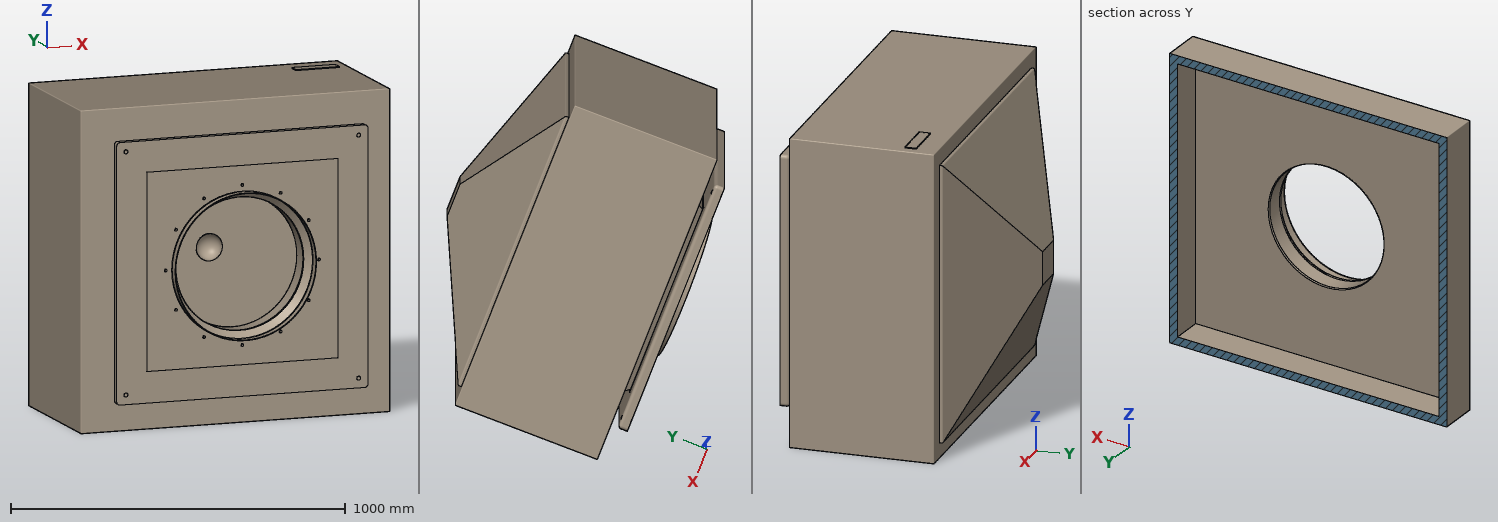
import cadquery as cq
import math


spigot_length = 30.0
spigot_outer_radius = 225.0
spigot_wall = 2.0
adapter_width = 607.0
throat_radius = 203.0
throat_land = 8.0
bolt_circle_radius = 244.0
bolt_hole_count = 12
bolt_hole_diameter = 8.0
bolt_hole_depth = 15.0

frame_width = 799.0
frame_thickness = 30.0
frame_edge_radius = 11.0
mounting_hole_spacing = 740.0
mounting_hole_diameter = 12.0

housing_width = 984.0
housing_depth = 456.0
housing_edge_radius = 3.0
neck_length = 30.0
neck_frame_width = 591.0
neck_housing_width = 626.0
wall = 30.0
bore_flare_length = 6.0
bore_flare = 2.0
chamber_depth = 197.0
bowl_radius = 41.0
hood_width = 883.0
hood_lip = 10.0
hood_height = 188.0
hood_edge_radius = 5.0
hood_tip_width = 107.0
badge_length = 138.0
badge_width = 36.0
badge_height = 3.0
badge_x = 391.0
badge_to_front = 371.0

frame_front = spigot_length
frame_back = frame_front + frame_thickness
housing_front = frame_back + neck_length
housing_back = housing_front + housing_depth
chamber_front = housing_front + wall
chamber_back = chamber_front + chamber_depth
hood_base = housing_back + hood_lip


def plane_at(y):
    """Sketch plane facing +Y at the given y; its sketch X is mirrored."""
    return cq.Workplane("XZ", origin=(0, y, 0)).transformed(rotate=(0, 180, 0))


def block(width, start, end):
    """Square block centred on the duct axis between two y positions."""
    return plane_at(start).rect(width, width).extrude(end - start)


def cylinder(radius, start, end):
    """Round bar on the duct axis between two y positions."""
    return plane_at(start).circle(radius).extrude(end - start)


def turned(profile):
    """Solid turned about the duct axis from (radius, y) points given in order of y."""
    axis_start = (0, profile[0][1])
    axis_end = (0, profile[-1][1])
    outline = cq.Workplane("XY").polyline([axis_start, *profile, axis_end]).close()
    return outline.revolve(360, (0, 0, 0), (0, 1, 0))


def square_taper(start_width, end_width, start, end):
    """Square frustum on the duct axis between two y positions."""
    length = end - start
    return (
        plane_at(start)
        .rect(start_width, start_width)
        .workplane(offset=length)
        .rect(end_width, end_width)
        .loft(ruled=True)
    )


def make_hood():
    """Blunt pyramid on a low square lip, with the edge between them rounded."""
    lip = block(hood_width, housing_back, hood_base)
    pyramid = square_taper(hood_width, hood_tip_width, hood_base, hood_base + hood_height)
    hood = lip.union(pyramid)
    base_edges = hood.edges().filter(lambda edge: math.isclose(edge.Center().y, hood_base))
    return base_edges.fillet(hood_edge_radius)


def make_housing():
    """Box with tapered neck, pyramid hood, inner chamber and a low badge."""
    box = block(housing_width, housing_front, housing_back).edges().fillet(housing_edge_radius)
    neck = square_taper(neck_frame_width, neck_housing_width, frame_back, housing_front)
    body = box.union(neck).union(make_hood())
    badge = cq.Workplane("XY", origin=(badge_x, housing_front + badge_to_front, housing_width / 2))
    badge = badge.rect(badge_length, badge_width).extrude(badge_height)
    body = body.union(badge)

    chamber = block(housing_width - 2 * wall, chamber_front, chamber_back)
    flare_start = chamber_front - bore_flare_length
    bore = turned(
        [
            (throat_radius, frame_back),
            (throat_radius, flare_start),
            (throat_radius + bore_flare, chamber_front),
        ]
    )
    bowl = cq.Workplane("XY").sphere(bowl_radius).translate((0, chamber_back, 0))
    return body.cut(chamber).cut(bore).cut(bowl)


def make_frame():
    """Square plate around the adapter, rounded at its corners and back edge."""
    frame = block(frame_width, frame_front, frame_back)
    frame = frame.edges("|Y").fillet(frame_edge_radius)
    frame = frame.faces(">Y").edges().fillet(frame_edge_radius)
    opening = block(adapter_width, frame_front, frame_back)
    holes = (
        plane_at(frame_front)
        .rect(mounting_hole_spacing, mounting_hole_spacing, forConstruction=True)
        .vertices()
        .circle(mounting_hole_diameter / 2)
        .extrude(frame_thickness)
    )
    return frame.cut(opening).cut(holes)


def make_adapter():
    """Square insert with the duct spigot, a conical inlet and a ring of bolt holes."""
    land_start = frame_back - throat_land
    spigot_inner_radius = spigot_outer_radius - spigot_wall
    insert = block(adapter_width, frame_front, frame_back)
    spigot = cylinder(spigot_outer_radius, 0, frame_front)
    passage = turned(
        [
            (spigot_inner_radius, 0),
            (spigot_inner_radius, frame_front),
            (throat_radius, land_start),
            (throat_radius, frame_back),
        ]
    )
    holes = (
        plane_at(frame_front)
        .polarArray(bolt_circle_radius, 0, 360, bolt_hole_count)
        .circle(bolt_hole_diameter / 2)
        .extrude(bolt_hole_depth)
    )
    return insert.union(spigot).cut(passage).cut(holes)


housing = make_housing()
frame = make_frame()
adapter = make_adapter()

result = cq.Compound.makeCompound([housing.val(), frame.val(), adapter.val()])